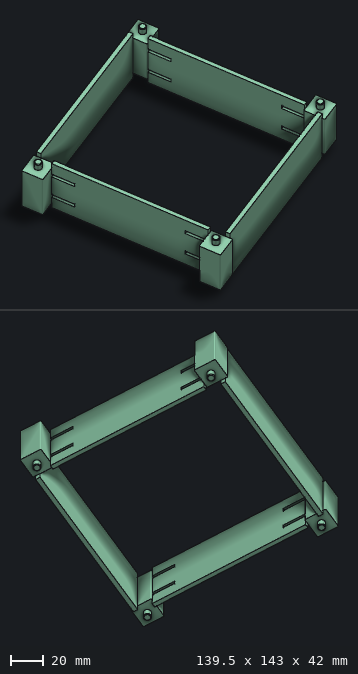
import cadquery as cq

frame_length_x = 139.5
frame_length_y = 143.0

post_side = 15.0
post_height = 32.0
post_edge_radius = 0.7

pin_diameter = 5.0
pin_length = 42.0
pin_chamfer = 0.5

panel_height = 40.0
panel_overlap = 0.1
slotted_panel_thickness = 3.0
slotted_panel_inset = 11.0
plain_panel_thickness = 3.25
plain_panel_inset = 1.9

slot_reach = 31.0
slot_height = 2.5
slot_center_z = 9.25

post_center_x = (frame_length_x - post_side) / 2
post_center_y = (frame_length_y - post_side) / 2
panel_end_x = frame_length_x / 2 - post_side + panel_overlap
panel_end_y = frame_length_y / 2 - post_side + panel_overlap
slotted_panel_y = frame_length_y / 2 - slotted_panel_inset - slotted_panel_thickness / 2
plain_panel_x = frame_length_x / 2 - plain_panel_inset - plain_panel_thickness / 2
slot_start_x = panel_end_x
slot_end_x = frame_length_x / 2 - slot_reach


def make_post():
    """Square post with rounded vertical edges and a chamfered pin through its axis."""
    block = cq.Workplane("XY").box(post_side, post_side, post_height)
    block = block.edges("|Z").fillet(post_edge_radius)
    pin = cq.Workplane("XY").circle(pin_diameter / 2).extrude(pin_length / 2, both=True)
    pin = pin.faces("<Z or >Z").chamfer(pin_chamfer)
    return block.union(pin)


def make_slotted_panel():
    """Panel along X with two open-ended slots at each end."""
    panel = cq.Workplane("XY").box(2 * panel_end_x, slotted_panel_thickness, panel_height)
    slot_length = slot_start_x - slot_end_x
    slot_center_x = (slot_start_x + slot_end_x) / 2
    for side_x in (-1, 1):
        for side_z in (-1, 1):
            slot = cq.Workplane("XY").box(slot_length, slotted_panel_thickness, slot_height)
            panel = panel.cut(slot.translate((side_x * slot_center_x, 0, side_z * slot_center_z)))
    return panel


def make_plain_panel():
    """Solid panel along Y."""
    return cq.Workplane("XY").box(plain_panel_thickness, 2 * panel_end_y, panel_height)


def make_frame():
    """Rectangular frame of four posts joined by two slotted and two plain panels."""
    frame = make_slotted_panel().translate((0, -slotted_panel_y, 0))
    frame = frame.union(make_slotted_panel().translate((0, slotted_panel_y, 0)))
    for side_x in (-1, 1):
        for side_y in (-1, 1):
            post_place = (side_x * post_center_x, side_y * post_center_y, 0)
            frame = frame.union(make_post().translate(post_place))
    for side_x in (-1, 1):
        frame = frame.union(make_plain_panel().translate((side_x * plain_panel_x, 0, 0)))
    return frame


result = make_frame()